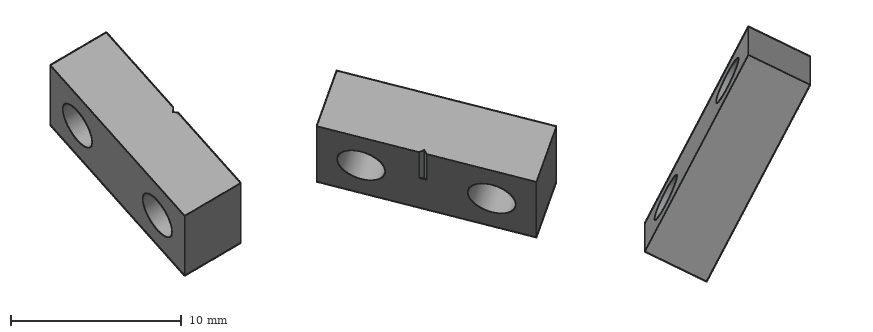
import cadquery as cq

LENGTH = 13.46
DEPTH = 4.06
HEIGHT = 5.99

HOLE_DIAMETER = 2.93
HOLE_SPACING = 8.0
FIRST_HOLE_FROM_END = 2.73

GROOVE_DEPTH = 0.23
GROOVE_FROM_END = 6.95
GROOVE_LENGTH = HEIGHT / 2


def make_block():
    return cq.Workplane("XY").box(LENGTH, DEPTH, HEIGHT)


def make_holes():
    first_x = -LENGTH / 2 + FIRST_HOLE_FROM_END
    return (
        cq.Workplane("XZ")
        .pushPoints([(first_x, 0), (first_x + HOLE_SPACING, 0)])
        .circle(HOLE_DIAMETER / 2)
        .extrude(DEPTH / 2, both=True)
    )


def make_groove():
    center_x = -LENGTH / 2 + GROOVE_FROM_END
    back_y = DEPTH / 2
    root_y = back_y - GROOVE_DEPTH
    top_z = HEIGHT / 2
    root_z = top_z - GROOVE_LENGTH
    v_prism = (
        cq.Workplane("XY", origin=(0, 0, root_z))
        .moveTo(center_x - GROOVE_DEPTH, back_y)
        .lineTo(center_x, root_y)
        .lineTo(center_x + GROOVE_DEPTH, back_y)
        .close()
        .extrude(GROOVE_LENGTH)
    )
    end_slope = (
        cq.Workplane("YZ", origin=(center_x, 0, 0))
        .moveTo(root_y, root_z)
        .lineTo(back_y, root_z)
        .lineTo(back_y, root_z + GROOVE_DEPTH)
        .close()
        .extrude(GROOVE_DEPTH, both=True)
    )
    return v_prism.cut(end_slope)


result = make_block().cut(make_holes()).cut(make_groove())